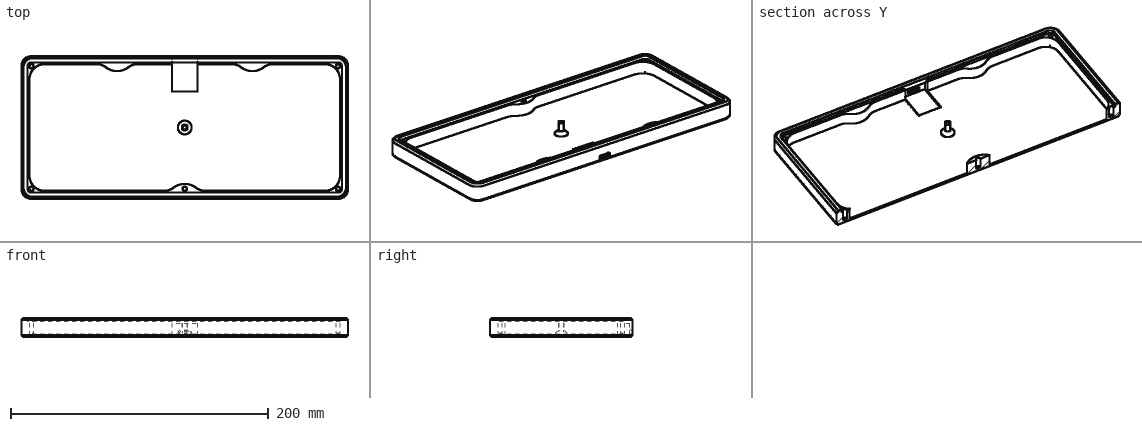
import cadquery as cq
import math

length = 253.5
width = 110.8
height = 15.0
outer_corner_radius = 8.0
edge_chamfer = 1.8

rim_width = 4.8
seat_depth = 2.8
seat_z = height - seat_depth
seat_corner_radius = outer_corner_radius - rim_width
cavity_inset = 6.3
cavity_corner_radius = 11.5
floor_z = 2.3

bump_height = 5.3
bump_radius = 14.2
bump_blend_radius = 11.5
back_bump_x = 52.5

screw_diameter = 3.3
screw_inset = 7.9
screw_depth = 9.0

bay_width = 19.5
bay_front_y = 28.0
bay_depth = 1.3
bay_wall = 2.3
bay_ceiling_drop = 1.8
port_width = 10.1
port_height = 3.0
port_z = 4.0

post_diameter = 4.5
post_height = 10.0
post_hole_diameter = 3.3
post_hole_depth = 7.5
foot_diameter = 10.6
foot_height = 3.0


def rounded_block(inset, corner_radius, bottom_z):
    """Block inset from the outer sides, reaching from bottom_z to the rim."""
    return (
        cq.Workplane("XY", origin=(0, 0, bottom_z))
        .rect(length - 2 * inset, width - 2 * inset)
        .extrude(height - bottom_z)
        .edges("|Z")
        .fillet(corner_radius)
    )


def wall_bump(center_x, side):
    """Bump on the back (side = 1) or front (side = -1) wall: a crown arc between two tangent blend arcs."""
    radius_sum = bump_radius + bump_blend_radius
    turn = math.acos(1 - bump_height / radius_sum)
    half_width = radius_sum * math.sin(turn)
    wall_y = width / 2 - cavity_inset

    def point(offset_x, rise):
        return (center_x + offset_x, side * (wall_y - rise))

    def blend_point(angle, direction):
        offset = half_width - bump_blend_radius * math.sin(angle)
        return point(direction * offset, bump_blend_radius * (1 - math.cos(angle)))

    root_y = side * (width / 2 - rim_width / 2)
    return (
        cq.Workplane("XY", origin=(0, 0, floor_z))
        .moveTo(center_x - half_width, root_y)
        .lineTo(*point(-half_width, 0))
        .threePointArc(blend_point(turn / 2, -1), blend_point(turn, -1))
        .threePointArc(point(0, bump_height), blend_point(turn, 1))
        .threePointArc(blend_point(turn / 2, 1), point(half_width, 0))
        .lineTo(center_x + half_width, root_y)
        .close()
        .extrude(seat_z - floor_z)
    )


def tray():
    body = rounded_block(0, outer_corner_radius, 0).faces("<Z or >Z").edges().chamfer(edge_chamfer)
    cavity = rounded_block(cavity_inset, cavity_corner_radius, floor_z)
    for center_x, side in [(-back_bump_x, 1), (back_bump_x, 1), (0, -1)]:
        cavity = cavity.cut(wall_bump(center_x, side))
    return body.cut(cavity).cut(rounded_block(rim_width, seat_corner_radius, seat_z))


def screw_holes():
    hole_x = length / 2 - screw_inset
    hole_y = width / 2 - screw_inset
    corners = [(x, y) for x in (-hole_x, hole_x) for y in (-hole_y, hole_y)]
    return (
        cq.Workplane("XY", origin=(0, 0, seat_z))
        .pushPoints(corners + [(0, -hole_y)])
        .circle(screw_diameter / 2)
        .extrude(-screw_depth)
    )


def connector_bay():
    bay_floor_z = floor_z - bay_depth

    def bay_box(wall, top_z):
        depth = width / 2 - wall - bay_front_y
        return (
            cq.Workplane("XY", origin=(0, bay_front_y + depth / 2, bay_floor_z))
            .rect(bay_width, depth)
            .extrude(top_z - bay_floor_z)
        )

    bay = bay_box(rim_width, seat_z).union(bay_box(bay_wall, seat_z - bay_ceiling_drop))
    port = (
        cq.Workplane("XZ", origin=(0, width / 2, port_z))
        .slot2D(port_width, port_height)
        .extrude(width / 2 - bay_front_y)
    )
    return bay.union(port)


def post():
    solid_post = (
        cq.Workplane("XZ")
        .moveTo(0, floor_z)
        .lineTo(foot_diameter / 2, floor_z)
        .lineTo(post_diameter / 2, floor_z + foot_height)
        .lineTo(post_diameter / 2, floor_z + post_height)
        .lineTo(0, floor_z + post_height)
        .close()
        .revolve(360, (0, 0, 0), (0, 1, 0))
    )
    return solid_post.faces(">Z").workplane().hole(post_hole_diameter, post_hole_depth)


result = tray().cut(screw_holes()).cut(connector_bay()).union(post())